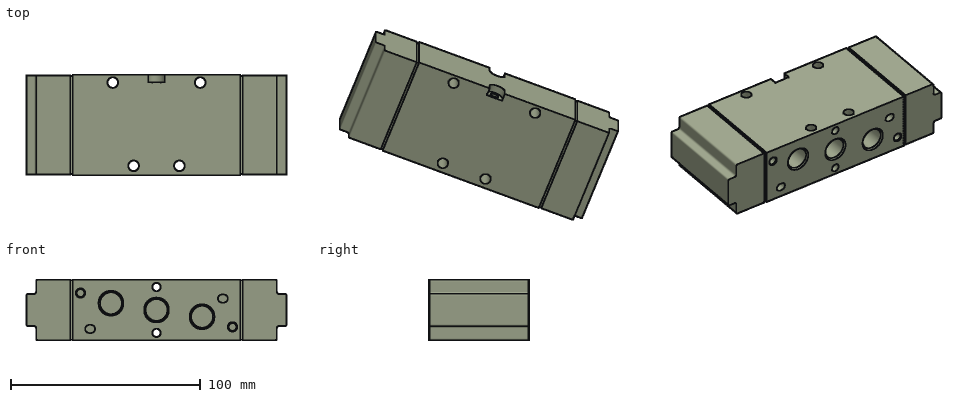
import cadquery as cq

body_length = 88.2
body_width = 53.0
height = 32.0

overall_length = 137.0
cap_width = 52.3
cap_inner_x = 45.3
shoulder_x = 63.4
nose_height = 17.0
cap_fillet = 1.1
nose_fillet = 1.0

neck_inset = 0.3

port_diameter = 11.5
port_mouth_chamfer = 0.8
port_depth = 20.5
port_pitch = 24.0
port_drop = 3.5

cross_hole_diameter = 4.2
cross_hole_z = 12.0
head_slot_width = 8.6
head_slot_depth = 4.1

vertical_hole_diameter = 5.5
rear_hole_x = 23.0
rear_hole_y = 22.3
front_hole_x = 12.0
front_hole_y = -21.5

screw_hole_diameter = 4.1
screw_hole_chamfer = 0.4
screw_hole_depth = 8.2
screw_hole_x = 40.0
screw_hole_z = 8.9

oblong_length = 5.2
oblong_height = 4.2
oblong_depth = 5.5
oblong_x = 35.0
oblong_z_left = -10.0
oblong_z_right = 6.0

front_y = -body_width / 2
back_y = body_width / 2


def end_cap():
    """Right-hand cap: a block stepping down to a full-width nose."""
    tip_x = overall_length / 2
    top = height / 2
    nose_top = nose_height / 2
    outline = [
        (cap_inner_x, -top),
        (shoulder_x, -top),
        (shoulder_x, -nose_top),
        (tip_x, -nose_top),
        (tip_x, nose_top),
        (shoulder_x, nose_top),
        (shoulder_x, top),
        (cap_inner_x, top),
    ]
    cap = cq.Workplane("XZ").polyline(outline).close().extrude(cap_width / 2, both=True)
    cap = cap.edges("|Y and >X").fillet(nose_fillet)
    select_margin = 0.1
    shoulder_edges = cq.selectors.BoxSelector(
        (shoulder_x - select_margin, -body_width, -height),
        (shoulder_x + select_margin, body_width, height),
    )
    return cap.edges("|Y").edges(shoulder_edges).fillet(cap_fillet)


def front_hole(x, z, diameter, depth, chamfer):
    """Blind hole into the front face with a conical mouth."""
    plane = cq.Plane(origin=(x, front_y, z), xDir=(1, 0, 0), normal=(0, 1, 0))
    bore = cq.Workplane(plane).circle(diameter / 2).extrude(depth)
    mouth = (
        cq.Workplane(plane)
        .circle(diameter / 2 + chamfer)
        .workplane(offset=chamfer)
        .circle(diameter / 2)
        .loft()
    )
    return bore.union(mouth)


def oblong_hole(x, z):
    """Shallow oblong hole into the front face."""
    plane = cq.Plane(origin=(x, front_y, z), xDir=(1, 0, 0), normal=(0, 1, 0))
    return cq.Workplane(plane).slot2D(oblong_length, oblong_height).extrude(oblong_depth)


def cross_hole(side):
    """Through hole along Y and its head slot, open to the top (1) or bottom (-1)."""
    z = side * cross_hole_z
    plane = cq.Plane(origin=(0, back_y, z), xDir=(1, 0, 0), normal=(0, -1, 0))
    hole = cq.Workplane(plane).circle(cross_hole_diameter / 2).extrude(body_width)
    round_end = cq.Workplane(plane).circle(head_slot_width / 2).extrude(head_slot_depth)
    opening_height = height / 2 - cross_hole_z
    opening = cq.Workplane("XY").box(head_slot_width, head_slot_depth, opening_height).translate(
        (0, back_y - head_slot_depth / 2, z + side * opening_height / 2)
    )
    return hole.union(round_end).union(opening)


result = cq.Workplane("XY").box(body_length, body_width, height)
neck = cq.Workplane("XY").box(2 * cap_inner_x, cap_width - 2 * neck_inset, height - 2 * neck_inset)
right_cap = end_cap()
result = result.union(neck).union(right_cap).union(right_cap.mirror("YZ"))

for step in (-1, 0, 1):
    port = front_hole(step * port_pitch, -step * port_drop, port_diameter, port_depth, port_mouth_chamfer)
    result = result.cut(port)

for side in (-1, 1):
    screw_hole = front_hole(
        side * screw_hole_x, -side * screw_hole_z, screw_hole_diameter, screw_hole_depth, screw_hole_chamfer
    )
    result = result.cut(screw_hole).cut(cross_hole(side))

result = result.cut(oblong_hole(-oblong_x, oblong_z_left))
result = result.cut(oblong_hole(oblong_x, oblong_z_right))

vertical_points = [
    (-rear_hole_x, rear_hole_y),
    (rear_hole_x, rear_hole_y),
    (-front_hole_x, front_hole_y),
    (front_hole_x, front_hole_y),
]
vertical_holes = (
    cq.Workplane("XY").pushPoints(vertical_points).circle(vertical_hole_diameter / 2).extrude(height, both=True)
)
result = result.cut(vertical_holes)